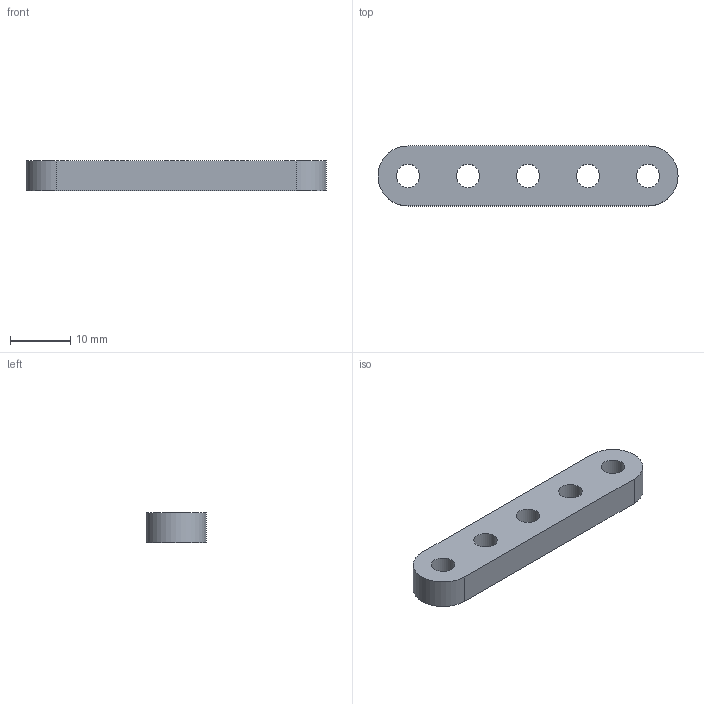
import cadquery as cq

hole_count = 5
hole_pitch = 10.0
hole_diameter = 3.9
bar_width = 10.0
bar_thickness = 5.0

bar_length = (hole_count - 1) * hole_pitch + bar_width


def make_bar():
    """Flat bar with full-round ends, resting on the XY plane."""
    return cq.Workplane("XY").slot2D(bar_length, bar_width).extrude(bar_thickness)


def drill_holes(bar):
    """Row of evenly spaced through holes along the bar's centre line."""
    return (
        bar.faces(">Z")
        .workplane(origin=(0, 0, bar_thickness))
        .rarray(hole_pitch, bar_width, hole_count, 1)
        .hole(hole_diameter)
    )


result = drill_holes(make_bar())